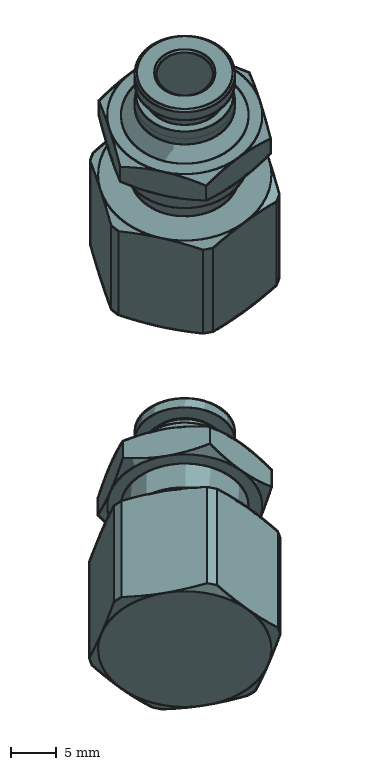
import cadquery as cq
import math

BODY_FLATS = 19.0
BODY_ACROSS_CORNERS = 21.3
BODY_HEIGHT = 15.0
BODY_CHAMFER_ANGLE = 20.0

NUT_FLATS = 17.0
NUT_HEIGHT = 4.0
NUT_BOTTOM = 21.05
NUT_TOP = NUT_BOTTOM + NUT_HEIGHT
NUT_CHAMFER_ANGLE = 30.0
NUT_CORNER_CLEARANCE = 0.4

RELIEF_RADIUS = 6.0
RELIEF_TOP = 16.55
THREAD_RADIUS = 7.0
THREAD_BOTTOM = RELIEF_TOP + (THREAD_RADIUS - RELIEF_RADIUS)
SHOULDER_RADIUS = 5.5
SHOULDER_BOTTOM = NUT_TOP + (THREAD_RADIUS - SHOULDER_RADIUS)
TAPER_BOTTOM = 27.5
TAPER_TOP = 28.55
TAPER_TOP_RADIUS = 5.35

SLEEVE_RADIUS = 4.4
SLEEVE_TOP = 29.9
NECK_RADIUS = 3.75
COLLAR_RADIUS = SHOULDER_RADIUS
COLLAR_BOTTOM = 30.65
TOTAL_HEIGHT = 32.25
COLLAR_CHAMFER = 0.25

BORE_RADIUS = 3.1
BORE_DEPTH = 16.0
BORE_CHAMFER = 0.25


def corner_radius(flats):
    """Distance from the axis to a sharp hexagon corner."""
    return flats / math.sqrt(3)


def revolve_profile(profile):
    """Solid of revolution about Z from (radius, height) points."""
    return cq.Workplane("XZ").polyline(profile).close().revolve(360, (0, 0, 0), (0, 1, 0))


def hex_prism(flats, bottom, height):
    """Hexagonal prism with two corners on the X axis."""
    corner_diameter = 2 * corner_radius(flats)
    return cq.Workplane("XY").workplane(offset=bottom).polygon(6, corner_diameter).extrude(height)


def chamfer_envelope(flats, outer_radius, bottom, height, angle):
    """Cylinder coned at both ends, starting from the circle that touches the flats."""
    flat_radius = flats / 2
    drop = (outer_radius - flat_radius) * math.tan(math.radians(angle))
    top = bottom + height
    profile = [
        (0, bottom),
        (flat_radius, bottom),
        (outer_radius, bottom + drop),
        (outer_radius, top - drop),
        (flat_radius, top),
        (0, top),
    ]
    return revolve_profile(profile)


def make_body():
    """Hexagonal body with chamfered ends and rounded-off corners."""
    envelope = chamfer_envelope(
        BODY_FLATS, BODY_ACROSS_CORNERS / 2, 0, BODY_HEIGHT, BODY_CHAMFER_ANGLE
    )
    return hex_prism(BODY_FLATS, 0, BODY_HEIGHT).intersect(envelope)


def make_nut():
    """Thin hexagonal nut with both ends chamfered."""
    envelope_radius = corner_radius(NUT_FLATS) + NUT_CORNER_CLEARANCE
    envelope = chamfer_envelope(NUT_FLATS, envelope_radius, NUT_BOTTOM, NUT_HEIGHT, NUT_CHAMFER_ANGLE)
    return hex_prism(NUT_FLATS, NUT_BOTTOM, NUT_HEIGHT).intersect(envelope)


def make_stem():
    """Turned stem, release sleeve and collar in one revolved profile."""
    profile = [
        (0, 0),
        (RELIEF_RADIUS, 0),
        (RELIEF_RADIUS, RELIEF_TOP),
        (THREAD_RADIUS, THREAD_BOTTOM),
        (THREAD_RADIUS, NUT_TOP),
        (SHOULDER_RADIUS, SHOULDER_BOTTOM),
        (SHOULDER_RADIUS, TAPER_BOTTOM),
        (TAPER_TOP_RADIUS, TAPER_TOP),
        (SLEEVE_RADIUS, TAPER_TOP),
        (SLEEVE_RADIUS, SLEEVE_TOP),
        (NECK_RADIUS, SLEEVE_TOP),
        (NECK_RADIUS, COLLAR_BOTTOM),
        (COLLAR_RADIUS, COLLAR_BOTTOM),
        (COLLAR_RADIUS, TOTAL_HEIGHT - COLLAR_CHAMFER),
        (COLLAR_RADIUS - COLLAR_CHAMFER, TOTAL_HEIGHT),
        (0, TOTAL_HEIGHT),
    ]
    return revolve_profile(profile)


def make_bore():
    """Blind tube socket with a chamfered mouth."""
    mouth_radius = BORE_RADIUS + BORE_CHAMFER
    profile = [
        (0, TOTAL_HEIGHT - BORE_DEPTH),
        (BORE_RADIUS, TOTAL_HEIGHT - BORE_DEPTH),
        (BORE_RADIUS, TOTAL_HEIGHT - BORE_CHAMFER),
        (mouth_radius, TOTAL_HEIGHT),
        (0, TOTAL_HEIGHT),
    ]
    return revolve_profile(profile)


result = make_body().union(make_stem()).union(make_nut()).cut(make_bore())